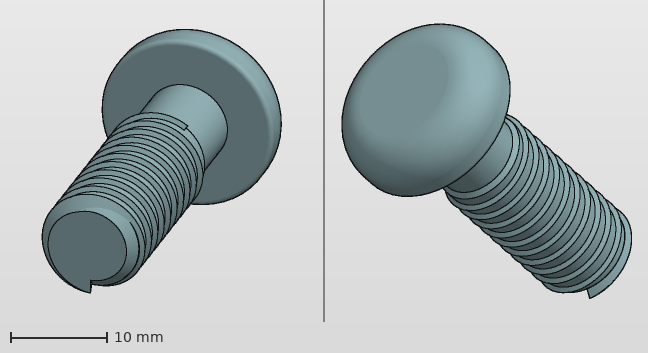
import cadquery as cq
import math


overall_length = 36.0
pitches_overall = 18
pitches_on_body = 11
pitch = overall_length / pitches_overall
body_length = pitches_on_body * pitch
head_height = 6.0
head_underside_y = overall_length - head_height

head_radius = 9.5
shank_radius = 4.5
body_radius = 5.0
crest_height = 0.5
crest_radius = body_radius + crest_height

head_dome_radius = 4.0
head_underside_fillet = 0.5
shoulder_chamfer = body_radius - shank_radius
tip_chamfer = 1.0

thread_turns = 10.6
thread_half_angle = 30.0
root_overlap = 0.1
tip_radius = body_radius - tip_chamfer
thread_root_radius = tip_radius - root_overlap


def make_blank():
    """Revolve the screw without its thread about the Y axis."""
    arc_midpoint = math.radians(45)
    dome_slant = head_dome_radius * math.cos(arc_midpoint)
    fillet_slant = head_underside_fillet * math.cos(arc_midpoint)
    dome_center = (head_radius - head_dome_radius, overall_length - head_dome_radius)
    fillet_center = (head_radius - head_underside_fillet, head_underside_y + head_underside_fillet)
    return (
        cq.Workplane("ZY")
        .moveTo(0, 0)
        .lineTo(tip_radius, 0)
        .lineTo(body_radius, tip_chamfer)
        .lineTo(body_radius, body_length - shoulder_chamfer)
        .lineTo(shank_radius, body_length)
        .lineTo(shank_radius, head_underside_y)
        .lineTo(fillet_center[0], head_underside_y)
        .threePointArc(
            (fillet_center[0] + fillet_slant, fillet_center[1] - fillet_slant),
            (head_radius, fillet_center[1]),
        )
        .lineTo(head_radius, dome_center[1])
        .threePointArc(
            (dome_center[0] + dome_slant, dome_center[1] + dome_slant),
            (dome_center[0], overall_length),
        )
        .lineTo(0, overall_length)
        .close()
        .revolve(360, (0, 0), (0, 1))
    )


def make_thread():
    """Sweep a right-hand V ridge whose crest starts on the tip face, on the -Z side."""
    root_half_width = (crest_radius - thread_root_radius) * math.tan(math.radians(thread_half_angle))
    helix = cq.Wire.makeHelix(pitch, thread_turns * pitch, crest_radius)
    ridge = (
        cq.Workplane("XZ")
        .moveTo(thread_root_radius, -root_half_width)
        .lineTo(crest_radius, 0)
        .lineTo(thread_root_radius, root_half_width)
        .close()
        .sweep(cq.Workplane(helix), isFrenet=True)
    )
    screw_frame = cq.Plane(origin=(0, 0, 0), xDir=(0, 0, -1), normal=(0, 1, 0))
    return cq.Workplane(ridge.val().moved(screw_frame.location))


def make_body_envelope():
    """Cylinder around the threaded body, which limits the ridge at the tip face."""
    return cq.Workplane("XZ").circle(head_radius).extrude(-body_length)


thread = make_thread().intersect(make_body_envelope())
result = make_blank().union(thread)